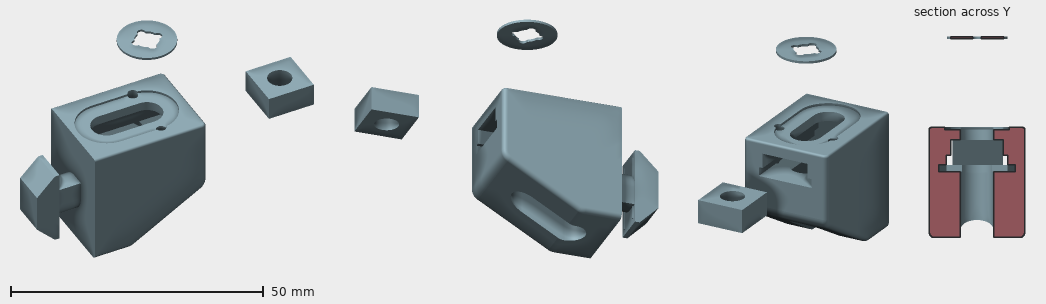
import cadquery as cq
import math

housing_width = 19.0
housing_depth = 25.0
housing_height = 25.0
back_height = 15.35
slope_angle = 30.0
slope_corner_radius = 2.5
side_edge_radius = 1.0
top_edge_radius = 0.5

slot_front_y = 7.5
slot_back_y = 16.5
slot_width = 6.5
recess_width = 12.7
recess_depth = 0.5
notch_radius = 1.05
notch_offset = 6.1
notch_depth = 2.0

nut_side = 10.0
nut_thickness = 5.0
nut_hole_diameter = 5.0
nut_back_y = 51.04
nut_offset_x = 0.15

plate_thickness = 2.0
channel_top_z = housing_height - recess_depth - plate_thickness
channel_floor_z = channel_top_z - nut_thickness
channel_front_y = slot_front_y - nut_side / 2
nut_clearance = 0.2
guide_width = nut_side + nut_clearance
guide_height = 3.1
lower_channel_width = 12.0
pocket_width = 15.0
pocket_depth = 1.25
pocket_back_y = 17.9
pocket_corner = 1.35

stud_width = 6.8
stud_height = 8.0
stud_length = 4.9
stud_corner_radius = stud_height / 2
stud_z = 11.0
head_width = 7.25
head_height = 16.0
head_front_y = -9.9
head_bevel = 4.0
ridge_spacing = 4.95
ridge_width = 0.35
ridge_length = 13.5
ridge_height = 0.15

washer_diameter = 12.0
washer_thickness = 0.5
washer_top_z = housing_height + 17.99
washer_hole_radius = 2.5
lobe_centre_radius = 2.4
lobe_radius = 0.9
lobe_count = 4


def block(width, front_y, back_y, bottom_z, top_z):
    """Box centred on x = 0."""
    return (
        cq.Workplane("XY", origin=(0, (front_y + back_y) / 2, bottom_z))
        .box(width, back_y - front_y, top_z - bottom_z, centered=(True, True, False))
    )


def slot_cutter(width, bottom_z, top_z):
    """Round-ended slot along Y between the two end centres."""
    centre_y = (slot_front_y + slot_back_y) / 2
    return (
        cq.Workplane("XY", origin=(0, centre_y, bottom_z))
        .slot2D(slot_back_y - slot_front_y + width, width, 90)
        .extrude(top_z - bottom_z)
    )


def make_housing_block():
    slope_drop = housing_height - back_height
    slope_run = slope_drop / math.tan(math.radians(slope_angle))
    body = (
        cq.Workplane("YZ", origin=(-housing_width / 2, 0, 0))
        .moveTo(0, 0)
        .lineTo(housing_depth - slope_run, 0)
        .lineTo(housing_depth, slope_drop)
        .lineTo(housing_depth, housing_height)
        .lineTo(0, housing_height)
        .close()
        .extrude(housing_width)
    )
    body = body.edges("|X").edges("not(>Z or <Y)").fillet(slope_corner_radius)
    body = body.faces("<X or >X").edges("not(<Y or >Z)").fillet(side_edge_radius)
    return body.faces(">Z").edges("not <Y").fillet(top_edge_radius)


def make_channel():
    guide_floor_z = channel_top_z - guide_height
    guide = block(guide_width, channel_front_y, housing_depth, guide_floor_z, channel_top_z)
    lower = block(lower_channel_width, channel_front_y, housing_depth, channel_floor_z, guide_floor_z)
    pocket_floor_z = channel_floor_z - pocket_depth
    pocket = block(lower_channel_width, channel_front_y, pocket_back_y, pocket_floor_z, channel_floor_z)
    undercut = (
        cq.Workplane("YZ", origin=(-pocket_width / 2, 0, 0))
        .moveTo(channel_front_y, pocket_floor_z)
        .lineTo(pocket_back_y, pocket_floor_z)
        .lineTo(pocket_back_y - pocket_corner, channel_floor_z)
        .lineTo(channel_front_y, channel_floor_z)
        .close()
        .extrude(pocket_width)
    )
    return guide.union(lower).union(pocket).union(undercut)


def make_notches():
    return (
        cq.Workplane("XY", origin=(0, slot_back_y, housing_height - notch_depth))
        .pushPoints([(-notch_offset, 0), (notch_offset, 0)])
        .circle(notch_radius)
        .extrude(notch_depth)
    )


def make_stud():
    shank = block(
        stud_width, -stud_length, 0, stud_z - stud_height / 2, stud_z + stud_height / 2
    )
    shank = shank.edges("|Y").edges("(<X and >Z) or (>X and <Z)").fillet(stud_corner_radius)
    head = block(
        head_width, head_front_y, -stud_length, stud_z - head_height / 2, stud_z + head_height / 2
    )
    head = head.faces("<Y").edges("|X").chamfer(head_bevel)
    ridges = (
        cq.Workplane("XY", origin=(0, -stud_length, stud_z))
        .pushPoints([(-ridge_spacing / 2, 0), (ridge_spacing / 2, 0)])
        .box(ridge_width, 2 * ridge_height, ridge_length)
    )
    return shank.union(head).union(ridges)


def make_housing():
    recess_floor_z = housing_height - recess_depth
    return (
        make_housing_block()
        .cut(slot_cutter(recess_width, recess_floor_z, housing_height))
        .cut(slot_cutter(slot_width, 0, housing_height))
        .cut(make_notches())
        .cut(make_channel())
        .union(make_stud())
    )


def make_nut():
    nut = block(nut_side, nut_back_y - nut_side, nut_back_y, channel_floor_z, channel_top_z)
    nut = nut.faces(">Z").workplane().hole(nut_hole_diameter)
    return nut.translate((nut_offset_x, 0, 0))


def make_washer():
    base = cq.Workplane("XY", origin=(0, slot_back_y, washer_top_z - washer_thickness))
    lobes = (
        base.polarArray(lobe_centre_radius, 0, 360, lobe_count)
        .circle(lobe_radius)
        .extrude(washer_thickness)
    )
    washer = (
        base.circle(washer_diameter / 2)
        .circle(washer_hole_radius)
        .extrude(washer_thickness)
    )
    return washer.cut(lobes)


housing = make_housing()
nut = make_nut()
washer = make_washer()

result = cq.Compound.makeCompound([housing.val(), nut.val(), washer.val()])